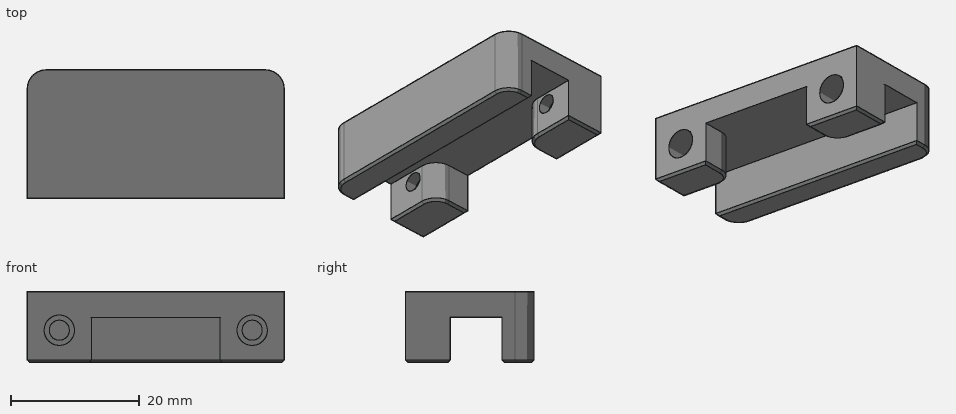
import cadquery as cq

length = 40.0
depth = 20.0
height = 11.0
corner_radius = 3.0

roof_thickness = 4.0
front_leg_depth = 7.0
front_leg_width = 10.0
rear_wall_depth = 5.0
foot_chamfer = 0.4

screw_diameter = 3.1
counterbore_diameter = 4.7
counterbore_floor = 2.0
hole_height = 5.0

leg_height = height - roof_thickness
rear_wall_start = depth - rear_wall_depth
leg_center_x = (length - front_leg_width) / 2
counterbore_depth = front_leg_depth - counterbore_floor


def make_roof_and_wall():
    """Roof with a full-length rear wall, rounded at the two rear vertical corners."""
    block = cq.Workplane("XY").box(length, depth, height, centered=(True, False, False))
    block = block.edges("|Z and >Y").fillet(corner_radius)
    space = cq.Workplane("XY").box(length, rear_wall_start, leg_height, centered=(True, False, False))
    return block.cut(space)


def make_front_leg(side):
    """Front leg at one end (side is -1 or 1), rounded at its inner rear corner."""
    leg = (
        cq.Workplane("XY")
        .box(front_leg_width, front_leg_depth, leg_height, centered=(True, False, False))
        .translate((side * leg_center_x, 0, 0))
    )
    inner_side = "<X" if side > 0 else ">X"
    return leg.edges(f"|Z and >Y and {inner_side}").fillet(corner_radius)


def hole_tool(x, diameter, hole_depth):
    """Cylinder running along +Y from the front face."""
    start = cq.Vector(x, 0, hole_height)
    return cq.Workplane(cq.Solid.makeCylinder(diameter / 2, hole_depth, start, cq.Vector(0, 1, 0)))


body = make_roof_and_wall()
for side in (-1, 1):
    body = body.union(make_front_leg(side))

body = body.faces("<Z").edges().chamfer(foot_chamfer)

for side in (-1, 1):
    hole_x = side * leg_center_x
    body = body.cut(hole_tool(hole_x, screw_diameter, front_leg_depth))
    body = body.cut(hole_tool(hole_x, counterbore_diameter, counterbore_depth))

result = body